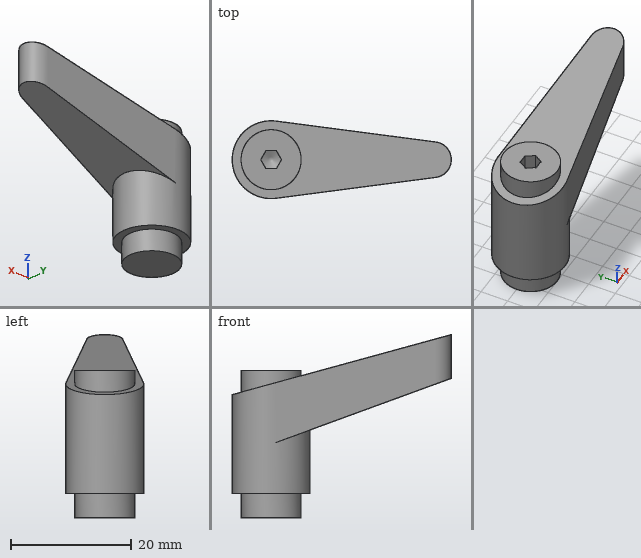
import cadquery as cq
import math

overall_length = 36.5
overall_height = 30.5
hub_diameter = 13.0
hub_bottom = 4.0
screw_diameter = 10.0
screw_top = 24.55
tip_radius = 3.0
hub_edge_height = 20.5
arm_root_bottom = 12.55
arm_tip_bottom = 23.2
socket_flats = 3.0
socket_depth = 4.0
drill_point_angle = 120.0

hub_radius = hub_diameter / 2
tip_end = overall_length - hub_radius
tip_center = tip_end - tip_radius

side_sine = (hub_radius - tip_radius) / tip_center
side_cosine = math.sqrt(1 - side_sine**2)
root_x = hub_radius * side_sine
root_y = hub_radius * side_cosine
tip_x = tip_center + tip_radius * side_sine
tip_y = tip_radius * side_cosine


def side_profile(points):
    """Extrude an XZ outline across the full hub width."""
    return cq.Workplane("XZ").polyline(points).close().extrude(hub_radius, both=True)


def make_hub():
    blank = cq.Workplane("XY").workplane(offset=hub_bottom).circle(hub_radius)
    blank = blank.extrude(overall_height - hub_bottom)
    top_slope = (overall_height - hub_edge_height) / overall_length
    front_height = hub_edge_height + top_slope * hub_diameter
    envelope = side_profile([
        (-hub_radius, hub_bottom),
        (hub_radius, hub_bottom),
        (hub_radius, front_height),
        (-hub_radius, hub_edge_height),
    ])
    return blank.intersect(envelope)


def make_arm():
    plan = (
        cq.Workplane("XY")
        .moveTo(root_x, root_y)
        .lineTo(tip_x, tip_y)
        .threePointArc((tip_end, 0), (tip_x, -tip_y))
        .lineTo(root_x, -root_y)
        .close()
        .extrude(overall_height)
    )
    root_fraction = (root_x + hub_radius) / overall_length
    root_top = hub_edge_height + root_fraction * (overall_height - hub_edge_height)
    envelope = side_profile([
        (root_x, arm_root_bottom),
        (tip_end, arm_tip_bottom),
        (tip_end, overall_height),
        (root_x, root_top),
    ])
    return plan.intersect(envelope)


def make_socket():
    """Hexagonal socket, corners on the X axis, whose floor is a cone reaching the corners."""
    corner_radius = socket_flats / 2 / math.cos(math.pi / 6)
    cone_base = screw_top - socket_depth
    cone_tip = cone_base - corner_radius / math.tan(math.radians(drill_point_angle / 2))
    hexagon = (
        cq.Workplane("XY")
        .workplane(offset=cone_tip)
        .polygon(6, 2 * corner_radius)
        .extrude(screw_top - cone_tip)
    )
    pointed_bore = (
        cq.Workplane("XZ")
        .moveTo(0, cone_tip)
        .lineTo(corner_radius, cone_base)
        .lineTo(corner_radius, screw_top)
        .lineTo(0, screw_top)
        .close()
        .revolve(360, (0, 0, 0), (0, 1, 0))
    )
    return hexagon.intersect(pointed_bore)


screw = cq.Workplane("XY").circle(screw_diameter / 2).extrude(screw_top)
result = make_hub().union(make_arm()).union(screw).cut(make_socket())